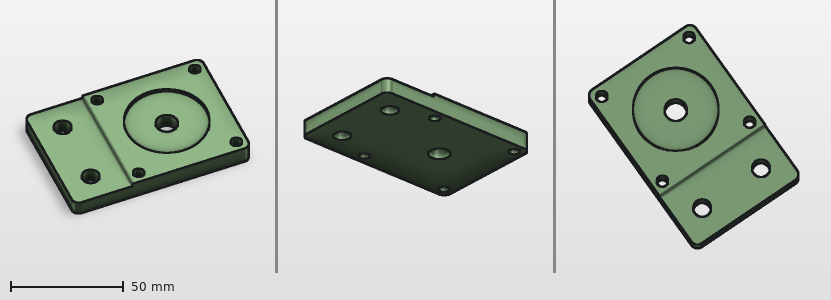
import cadquery as cq

width = 57.2
length = 85.2
thickness = 8.8
step_height = 1.5
corner_radius = 3.2
step_fillet = 0.5

recess_diameter = 38.1
recess_depth = 1.5
bore_diameter = 10.0
screw_diameter = 5.1
screw_spacing = 47.2

tab_hole_diameter = 8.0
tab_hole_spacing = 31.9
tab_hole_edge_distance = 13.1

motor_y = length / 2 - width / 2
step_y = length / 2 - width
tab_hole_y = -length / 2 + tab_hole_edge_distance
tab_top = thickness - step_height


def stepped_plate():
    """Rounded plate with its -Y end lowered, the step blended at both edges."""
    plate = (
        cq.Workplane("XY")
        .box(width, length, thickness, centered=(True, True, False))
        .edges("|Z")
        .fillet(corner_radius)
    )
    tab_length = step_y + length / 2
    tab_clearance = (
        cq.Workplane("XY", origin=(0, -length / 2, tab_top))
        .box(width, tab_length, step_height, centered=(True, False, False))
    )
    plate = plate.cut(tab_clearance)
    step_edges = plate.faces(cq.selectors.NearestToPointSelector((0, step_y, thickness - step_height / 2)))
    return step_edges.edges("|X").fillet(step_fillet)


def motor_cutters():
    """Recess, central bore and screw holes of the motor area."""
    centre = cq.Workplane("XY", origin=(0, motor_y, 0))
    recess = (
        centre.workplane(offset=thickness - recess_depth)
        .circle(recess_diameter / 2)
        .extrude(recess_depth)
    )
    bore = centre.circle(bore_diameter / 2).extrude(thickness)
    screws = (
        centre.rect(screw_spacing, screw_spacing, forConstruction=True)
        .vertices()
        .circle(screw_diameter / 2)
        .extrude(thickness)
    )
    return recess.union(bore).union(screws)


def tab_holes():
    """Pair of through holes in the tab."""
    return (
        cq.Workplane("XY", origin=(0, tab_hole_y, 0))
        .rarray(tab_hole_spacing, 0.85, 2, 1)
        .circle(tab_hole_diameter / 2)
        .extrude(thickness)
    )


result = stepped_plate().cut(motor_cutters()).cut(tab_holes())